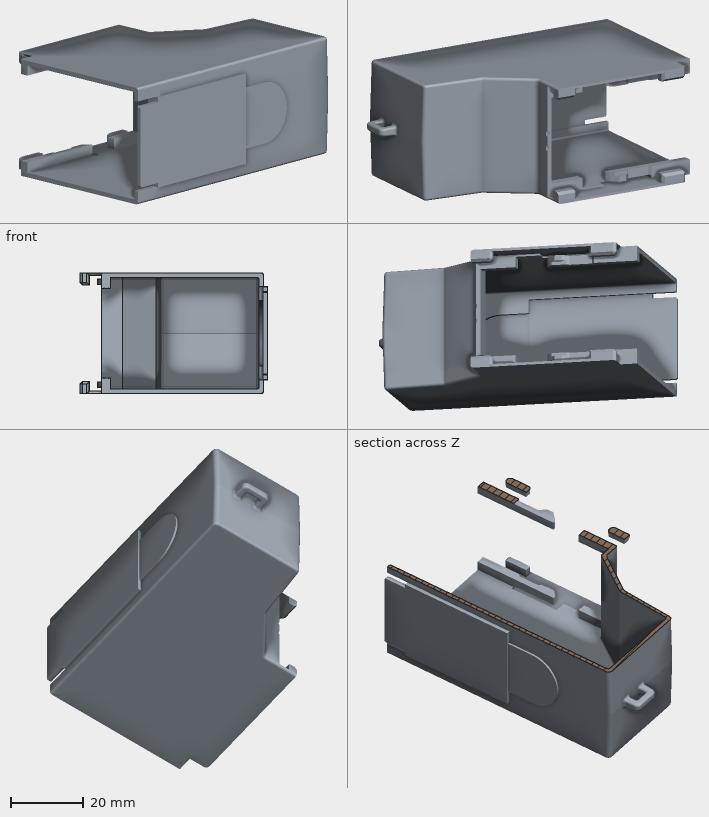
import cadquery as cq
import math

HEIGHT = 33.4
HALF_HEIGHT = HEIGHT / 2
SIDE_WALL = 1.3
FLANGE_WALL = 0.7
BODY_LEFT = 6.0
RIGHT_OUTER = 50.9
RIGHT_INNER = RIGHT_OUTER - SIDE_WALL
STEP_Y = 46.1
FOOT_X = 11.1
KINK_X = 20.0
KINK_Y = 58.75
INNER_KINK_X = 21.1
BACK_LEFT = 21.6
BACK_PEAK = 77.0
BACK_DROP = 0.6
BACK_WALL = 1.3
LEDGE_Y = 4.65
EDGE_ROUND = 0.7
BACK_LEFT_ROUND = 1.1
BACK_RIGHT_ROUND = 1.4
FOOT_ROUND = 1.5
KINK_ROUND = 1.1
CAVITY_ROUND = 0.53
CAVITY_RIGHT_ROUND = 0.7

OVERSHOOT = 4.1
NEAR = 0.8
TINY = 0.01

CLAW_WIDTH = 2.6
CLAW_DEPTH = 3.35
CLAW_CHAMFER = 0.7
FRONT_CLAW_END = 12.3
REAR_CLAW_START = 39.95

RAIL_WIDTH = 2.5
RAIL_RIGHT = BODY_LEFT + RAIL_WIDTH
RAIL_DEPTH = 4.25
REAR_RAIL_START = 34.7
ARM_START = FRONT_CLAW_END
ARM_END = 26.1
ARM_SETBACK = 0.65
ARM_GAP_DEPTH = 1.7
RELIEF_END = 27.8
RELIEF_RIGHT = 9.4
HOOK_LEFT = 4.9
HOOK_START = 21.25
HOOK_END = 23.4
HOOK_DEPTH = 3.3
TIP_BEVEL_Y = 25.4
TIP_LEFT = 7.85

PLATE_HALF = 12.9
PLATE_FRONT_HALF = 11.6
PLATE_FRONT_LENGTH = 7.0
PLATE_INNER = 50.65
PLATE_OUTER = 52.0
PLATE_END = 42.1
PLATE_CHAMFER = 0.3
TONGUE_OUTER = 51.5
TONGUE_RADIUS = 8.75
TONGUE_CENTRE_Y = 50.25
RECESS_RADIUS = 9.1
RECESS_FLOOR = 50.8

LOOP_X = 40.3
LOOP_BASE_WIDTH = 9.2
LOOP_TIP_WIDTH = 8.6
LOOP_TIP_Y = 81.7
LOOP_BASE_THICK = 2.8
LOOP_TIP_THICK = 2.2
LOOP_ROUND = 1.55
LOOP_HOLE_WIDTH = 4.5
LOOP_HOLE_TOP = 79.65
LOOP_HOLE_ROUND = 0.6
LOOP_EDGE_ROUND = 0.65
LOOP_FOOT_ROUND = 0.8
LOOP_PAD_MARGIN = 0.9
LOOP_ROOT_Y = 76.0

NOTCH_Z = 2.1
NOTCH_SIZE = 0.8
NOTCH_HALF_WIDTH = 0.65


def box(x0, x1, y0, y1, z0, z1):
    return cq.Workplane("XY").box(x1 - x0, y1 - y0, z1 - z0, centered=False).translate((x0, y0, z0))


def prism(points, z0, z1):
    return cq.Workplane("XY").workplane(offset=z0).polyline(points).close().extrude(z1 - z0)


def both_sides(top_shape):
    return top_shape.union(top_shape.mirror("XY"))


def ridged_block(peak_y):
    """Long block whose +Y end is a shallow ridge along X at z = 0."""
    outline = [
        (-OVERSHOOT, -HALF_HEIGHT),
        (peak_y - BACK_DROP, -HALF_HEIGHT),
        (peak_y, 0),
        (peak_y - BACK_DROP, HALF_HEIGHT),
        (-OVERSHOOT, HALF_HEIGHT),
    ]
    return cq.Workplane("YZ").polyline(outline).close().extrude(PLATE_OUTER)


def upright_edges(solid, x, y):
    """Long edges running along Z that pass near the point (x, y)."""
    def is_wanted(edge):
        centre = edge.Center()
        is_near = abs(centre.x - x) < NEAR and abs(centre.y - y) < NEAR
        return is_near and edge.BoundingBox().zlen > HALF_HEIGHT / 2
    return solid.edges().filter(is_wanted)


def outer_block():
    outline = [
        (0, LEDGE_Y),
        (BODY_LEFT, LEDGE_Y),
        (BODY_LEFT, 0),
        (RIGHT_OUTER, 0),
        (RIGHT_OUTER, BACK_PEAK),
        (BACK_LEFT, BACK_PEAK),
        (KINK_X, KINK_Y),
        (FOOT_X, STEP_Y),
        (0, STEP_Y),
    ]
    block = prism(outline, -HALF_HEIGHT, HALF_HEIGHT).intersect(ridged_block(BACK_PEAK))
    corners = [
        (FOOT_X, STEP_Y, FOOT_ROUND),
        (KINK_X, KINK_Y, KINK_ROUND),
        (BACK_LEFT, BACK_PEAK, BACK_LEFT_ROUND),
        (RIGHT_OUTER, BACK_PEAK, BACK_RIGHT_ROUND),
    ]
    for x, y, radius in corners:
        block = upright_edges(block, x, y).fillet(radius)
    block = upright_edges(block, 0, LEDGE_Y).chamfer(CLAW_CHAMFER)

    def is_rounded(edge):
        centre = edge.Center()
        return centre.y > STEP_Y - NEAR or centre.x > RIGHT_INNER
    for side in (">Z", "<Z"):
        block = block.faces(side).edges().filter(is_rounded).fillet(EDGE_ROUND)
    return block


def cavity():
    slope = math.atan2(KINK_Y - STEP_Y, KINK_X - FOOT_X)
    step_inner = STEP_Y - SIDE_WALL
    shift_x = SIDE_WALL / math.sin(slope)
    steep_run = (BACK_LEFT - KINK_X) / (BACK_PEAK - KINK_Y)
    foot_x = FOOT_X + shift_x - SIDE_WALL / math.tan(slope)
    kink_y = step_inner + (INNER_KINK_X - foot_x) * math.tan(slope)
    back_y = BACK_PEAK - BACK_WALL
    back_x = INNER_KINK_X + steep_run * (back_y - kink_y)
    outline = [
        (BODY_LEFT, -OVERSHOOT),
        (BODY_LEFT, step_inner),
        (foot_x, step_inner),
        (INNER_KINK_X, kink_y),
        (back_x, back_y),
        (RIGHT_INNER, back_y),
        (RIGHT_INNER, -OVERSHOOT),
    ]
    floor_z = HALF_HEIGHT - SIDE_WALL
    space = prism(outline, -floor_z, floor_z).intersect(ridged_block(back_y))
    space = upright_edges(space, back_x, back_y).fillet(CAVITY_ROUND)
    space = upright_edges(space, RIGHT_INNER, back_y).fillet(CAVITY_RIGHT_ROUND)

    def is_rounded(edge):
        centre = edge.Center()
        return centre.x > BODY_LEFT + NEAR and centre.y > 0
    for side in (">Z", "<Z"):
        space = space.faces(side).edges().filter(is_rounded).fillet(CAVITY_ROUND)
    return space


def flange_gap():
    """Space between the thin flanges, with the flange front edges bevelled."""
    inner_z = HALF_HEIGHT - FLANGE_WALL
    gap = box(-OVERSHOOT, BODY_LEFT, -OVERSHOOT, BACK_PEAK, -inner_z, inner_z)
    bevel_end = LEDGE_Y + FLANGE_WALL
    bevel = [(LEDGE_Y, inner_z), (bevel_end, inner_z), (LEDGE_Y, HALF_HEIGHT)]
    bevel_cut = cq.Workplane("YZ").polyline(bevel).close().extrude(BODY_LEFT)
    return gap.union(both_sides(bevel_cut))


def claw(y0, y1, bevel_rear):
    """Upper claw, bevelled along its inner left edge, around its -Y end and optionally at its +Y end."""
    shape = box(0, CLAW_WIDTH, y0, y1, HALF_HEIGHT - CLAW_DEPTH, HALF_HEIGHT)
    edges = shape.edges("(<X and <Z) or (<X and <Y) or (<Y and <Z) or (>X and <Y)")
    if bevel_rear:
        edges = edges.add(shape.edges("<X and >Y"))
    return edges.chamfer(CLAW_CHAMFER)


def rails():
    bottom = HALF_HEIGHT - RAIL_DEPTH
    top = HALF_HEIGHT - FLANGE_WALL
    rear = box(BODY_LEFT, RAIL_RIGHT, REAR_RAIL_START, STEP_Y - SIDE_WALL, bottom, top)
    front = box(BODY_LEFT, RAIL_RIGHT, 0, ARM_START, bottom, top)
    return rear.union(front)


def latch_arm():
    """Free arm beside the flange, with a hook whose flanks stand at 45 degrees."""
    face_x = BODY_LEFT + ARM_SETBACK
    bevel_x = HOOK_LEFT + TIP_BEVEL_Y - HOOK_END
    outline = [
        (RAIL_RIGHT, ARM_START),
        (BODY_LEFT, ARM_START),
        (face_x, ARM_START + ARM_SETBACK),
        (face_x, HOOK_START - (face_x - HOOK_LEFT)),
        (HOOK_LEFT, HOOK_START),
        (HOOK_LEFT, HOOK_END),
        (bevel_x, TIP_BEVEL_Y),
        (TIP_LEFT, ARM_END),
        (RAIL_RIGHT, ARM_END),
    ]
    arm = prism(outline, HALF_HEIGHT - RAIL_DEPTH, HALF_HEIGHT - ARM_GAP_DEPTH)
    hook_trim = box(
        0, BODY_LEFT, ARM_START, ARM_END, HALF_HEIGHT - RAIL_DEPTH, HALF_HEIGHT - HOOK_DEPTH
    )
    return arm.cut(hook_trim)


def arm_relief():
    """Thinned floor below the latch arm."""
    return box(
        BODY_LEFT, RELIEF_RIGHT, ARM_START, RELIEF_END,
        HALF_HEIGHT - ARM_GAP_DEPTH, HALF_HEIGHT - FLANGE_WALL,
    )


def rounded_tongue(radius, x0, x1):
    """Upright tongue from the plate end, closed by a half circle at +Y."""
    return (
        cq.Workplane("YZ").workplane(offset=x0)
        .moveTo(PLATE_END, -radius)
        .lineTo(TONGUE_CENTRE_Y, -radius)
        .threePointArc((TONGUE_CENTRE_Y + radius, 0), (TONGUE_CENTRE_Y, radius))
        .lineTo(PLATE_END, radius)
        .close()
        .extrude(x1 - x0)
    )


def plate_opening():
    opening = box(RIGHT_INNER - NEAR, PLATE_OUTER, -OVERSHOOT, PLATE_END, -PLATE_HALF, PLATE_HALF)
    return opening.union(rounded_tongue(RECESS_RADIUS, RIGHT_INNER - NEAR, RECESS_FLOOR))


def plate():
    wide = box(PLATE_INNER, PLATE_OUTER, PLATE_FRONT_LENGTH, PLATE_END, -PLATE_HALF, PLATE_HALF)
    narrow = box(PLATE_INNER, PLATE_OUTER, 0, PLATE_FRONT_LENGTH, -PLATE_FRONT_HALF, PLATE_FRONT_HALF)
    narrow = narrow.edges("|X and <Y").chamfer(PLATE_CHAMFER)
    return wide.union(narrow).union(rounded_tongue(TONGUE_RADIUS, RECESS_FLOOR, TONGUE_OUTER))


def tapered_outline(plane, base_width, tip_width, depth):
    """Symmetric bar that narrows from the body to the loop tip, extruded both ways."""
    return (
        cq.Workplane(plane)
        .polyline([
            (-base_width / 2, LOOP_ROOT_Y),
            (base_width / 2, LOOP_ROOT_Y),
            (tip_width / 2, LOOP_TIP_Y),
            (-tip_width / 2, LOOP_TIP_Y),
        ])
        .close()
        .extrude(depth, both=True)
    )


def loop():
    face = tapered_outline("XY", LOOP_BASE_WIDTH, LOOP_TIP_WIDTH, LOOP_BASE_THICK)
    face = face.edges("|Z and >Y").fillet(LOOP_ROUND)
    hole = box(
        -LOOP_HOLE_WIDTH / 2, LOOP_HOLE_WIDTH / 2, 0, LOOP_HOLE_TOP, -LOOP_BASE_THICK, LOOP_BASE_THICK
    )
    face = face.cut(hole.edges("|Z and >Y").fillet(LOOP_HOLE_ROUND))
    side = tapered_outline("ZY", LOOP_BASE_THICK, LOOP_TIP_THICK, LOOP_BASE_WIDTH)
    ring = face.intersect(side)

    def is_free(edge):
        return edge.Center().y > LOOP_ROOT_Y + TINY
    for side in (">Z", "<Z"):
        ring = ring.faces(side).edges().filter(is_free).fillet(LOOP_EDGE_ROUND)
    half_x = LOOP_BASE_WIDTH / 2 + LOOP_PAD_MARGIN
    half_z = LOOP_BASE_THICK / 2 + LOOP_PAD_MARGIN
    pad_y = BACK_PEAK - BACK_DROP * half_z / HALF_HEIGHT
    pad = box(-half_x, half_x, LOOP_ROOT_Y, pad_y, -half_z, half_z)
    ring = ring.union(pad)

    def is_root(edge):
        centre = edge.Center()
        on_pad = abs(centre.y - pad_y) < TINY
        return on_pad and abs(centre.x) < half_x - TINY and abs(centre.z) < half_z - TINY
    ring = ring.edges().filter(is_root).fillet(LOOP_FOOT_ROUND)
    return ring.translate((LOOP_X, 0, 0))


def end_notches():
    notches = cq.Workplane("XY")
    for z in (-NOTCH_Z, NOTCH_Z):
        outline = [
            (STEP_Y, z - NOTCH_HALF_WIDTH),
            (STEP_Y - NOTCH_SIZE, z),
            (STEP_Y, z + NOTCH_HALF_WIDTH),
        ]
        cut = cq.Workplane("YZ").workplane(offset=BODY_LEFT).polyline(outline).close().extrude(NOTCH_SIZE)
        notches = notches.add(cut)
    return notches.combine()


block = outer_block()
claws = claw(LEDGE_Y, FRONT_CLAW_END, True).union(claw(REAR_CLAW_START, STEP_Y, False))
result = block.cut(cavity()).cut(flange_gap()).union(both_sides(claws).intersect(block))
result = result.union(both_sides(rails())).cut(both_sides(arm_relief())).union(both_sides(latch_arm()))
result = result.cut(plate_opening()).union(plate())
result = result.union(loop()).cut(end_notches())